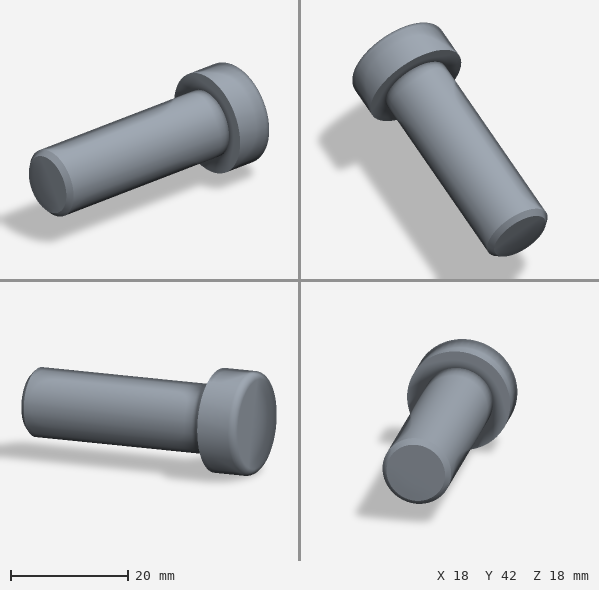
import cadquery as cq

total_length = 42.0
head_diameter = 18.0
head_height = 7.0
head_edge_radius = 1.2
shank_diameter = 12.0
shank_chamfer = 0.9

shank_length = total_length - head_height


def cylinder_along_y(diameter, start, length):
    """Solid cylinder running toward +Y from the given Y position."""
    plane = cq.Workplane("XZ", origin=(0, start, 0))
    return plane.circle(diameter / 2).extrude(-length)


head = cylinder_along_y(head_diameter, shank_length, head_height)
head = head.faces(">Y").edges().fillet(head_edge_radius)

shank = cylinder_along_y(shank_diameter, 0, shank_length)
shank = shank.faces("<Y").edges().chamfer(shank_chamfer)

result = head.union(shank)